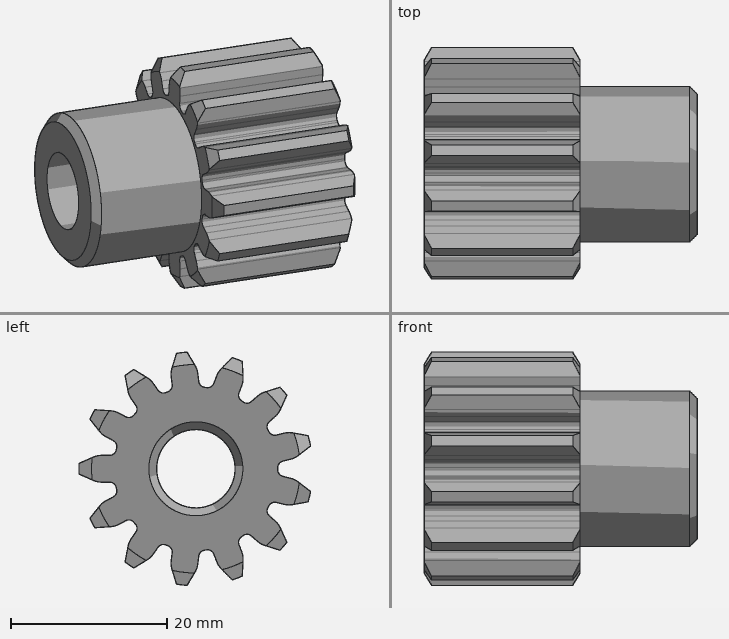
import cadquery as cq
import math

length = 35.0
gear_width = 20.0
tip_radius = 30.0 / 2
root_radius = 10.5
hub_radius = 20.0 / 2
bore_radius = 10.0 / 2

edge_chamfer = 1.0
tooth_chamfer_length = 0.95
tooth_chamfer_angle = 30.0
tooth_chamfer_height = tooth_chamfer_length / math.tan(math.radians(tooth_chamfer_angle))

tooth_count = 13
tooth_pitch = 360.0 / tooth_count
half_pitch = math.radians(tooth_pitch / 2)
tooth_half_width = 1.732
flank_start = 12.08
flank_radius = 2.62
root_fillet_radius = 0.85
flank_slope = math.radians(24.0)
cutter_height = tip_radius + 0.35


def make_blank():
    """Revolve the toothless body, with the hub and all outer chamfers."""
    profile = [
        (0, 0),
        (0, tip_radius - tooth_chamfer_height),
        (tooth_chamfer_length, tip_radius),
        (gear_width - tooth_chamfer_length, tip_radius),
        (gear_width, tip_radius - tooth_chamfer_height),
        (gear_width, hub_radius),
        (length - edge_chamfer, hub_radius),
        (length, hub_radius - edge_chamfer),
        (length, 0),
    ]
    return cq.Workplane("XY").polyline(profile).close().revolve(360, (0, 0), (1, 0))


def make_bore():
    """Through bore with a chamfered mouth at the toothed end."""
    profile = [
        (0, 0),
        (0, bore_radius + edge_chamfer),
        (edge_chamfer, bore_radius),
        (length, bore_radius),
        (length, 0),
    ]
    return cq.Workplane("XY").polyline(profile).close().revolve(360, (0, 0), (1, 0))


def tooth_to_gap(across, height):
    """Turn a point on a tooth's flank by half a pitch, so that the gap is centred on +Z."""
    sine = math.sin(half_pitch)
    cosine = math.cos(half_pitch)
    return (height * sine - across * cosine, height * cosine + across * sine)


def flank_point(turn):
    """Point of the curved flank after it has leaned in by the given angle."""
    across = tooth_half_width - flank_radius * (1 - math.cos(turn))
    height = flank_start + flank_radius * math.sin(turn)
    return tooth_to_gap(across, height)


def mirrored(point):
    return (-point[0], point[1])


def make_gap():
    """Cutter for the space between two teeth, centred on +Z."""
    fillet_across = tooth_half_width + root_fillet_radius
    fillet_distance = root_radius + root_fillet_radius
    fillet_height = math.sqrt(fillet_distance**2 - fillet_across**2)
    land_half_angle = half_pitch - math.asin(fillet_across / fillet_distance)
    land_end = (root_radius * math.sin(land_half_angle), root_radius * math.cos(land_half_angle))
    root_bottom = (0, root_radius)

    fillet_sweep = math.atan2(fillet_height, fillet_across)
    fillet_middle = tooth_to_gap(
        fillet_across - root_fillet_radius * math.cos(fillet_sweep / 2),
        fillet_height - root_fillet_radius * math.sin(fillet_sweep / 2),
    )
    fillet_end = tooth_to_gap(tooth_half_width, fillet_height)

    side_end = flank_point(0)
    flank_middle = flank_point(flank_slope / 2)
    flank_end = flank_point(flank_slope)

    upper_lean = half_pitch + flank_slope
    rise = cutter_height - flank_end[1]
    mouth = (flank_end[0] + rise * math.tan(upper_lean), cutter_height)

    return (
        cq.Workplane("YZ")
        .moveTo(*mirrored(land_end))
        .threePointArc(root_bottom, land_end)
        .threePointArc(fillet_middle, fillet_end)
        .lineTo(*side_end)
        .threePointArc(flank_middle, flank_end)
        .lineTo(*mouth)
        .lineTo(*mirrored(mouth))
        .lineTo(*mirrored(flank_end))
        .threePointArc(mirrored(flank_middle), mirrored(side_end))
        .lineTo(*mirrored(fillet_end))
        .threePointArc(mirrored(fillet_middle), mirrored(land_end))
        .close()
        .extrude(gear_width)
    )


result = make_blank().cut(make_bore())

gap = make_gap()
for index in range(tooth_count):
    angle = -90 + (index + 0.5) * tooth_pitch
    result = result.cut(gap.rotate((0, 0, 0), (1, 0, 0), angle))